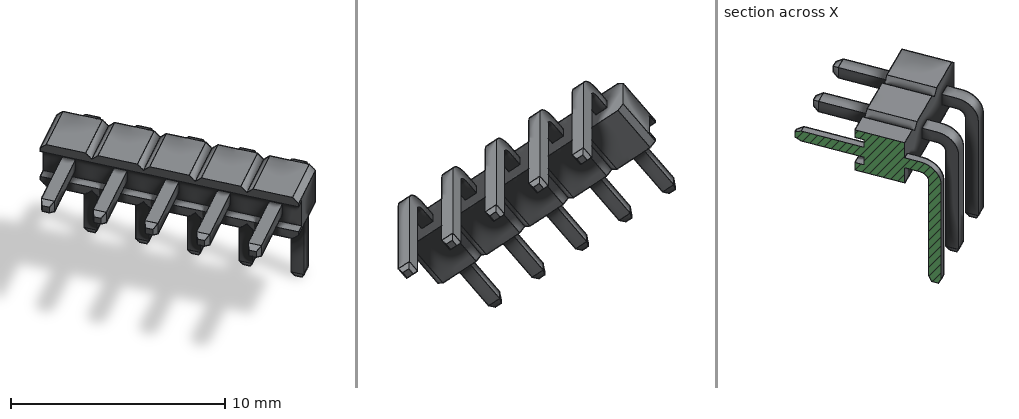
import cadquery as cq

PIN_COUNT = 5
PITCH = 2.54

BODY_LENGTH = PIN_COUNT * PITCH
BODY_DEPTH = 2.5
BODY_HEIGHT = 2.54
CORNER_CHAMFER = 0.3
RECESS_DEPTH = 0.45
RECESS_LIP = 0.5

PIN_WIDTH = 0.65
FRONT_REACH = 3.0
OVERALL_DEPTH = 7.33
OVERALL_HEIGHT = 8.27
BEND_INNER_RADIUS = 0.43
TIP_LENGTH = 0.32
TIP_INSET = 0.15

BODY_FRONT = -BODY_DEPTH / 2
BODY_TOP = BODY_HEIGHT / 2
PIN_FRONT = BODY_FRONT - FRONT_REACH
PIN_BACK = PIN_FRONT + OVERALL_DEPTH
LEG_BOTTOM = BODY_TOP - OVERALL_HEIGHT
LEG_CENTRE = PIN_BACK - PIN_WIDTH / 2
BEND_RADIUS = BEND_INNER_RADIUS + PIN_WIDTH / 2
TIP_WIDTH = PIN_WIDTH - 2 * TIP_INSET

PIN_POSITIONS = [(i - (PIN_COUNT - 1) / 2) * PITCH for i in range(PIN_COUNT)]


def make_body():
    """Row of joined chamfered cells with a channel along the front face."""
    body = None
    for x in PIN_POSITIONS:
        cell = (
            cq.Workplane("XY")
            .box(PITCH, BODY_DEPTH, BODY_HEIGHT)
            .edges("|Y")
            .chamfer(CORNER_CHAMFER)
            .translate((x, 0, 0))
        )
        body = cell if body is None else body.union(cell)

    channel = cq.Workplane("XY").box(
        BODY_LENGTH,
        RECESS_DEPTH,
        BODY_HEIGHT - 2 * RECESS_LIP,
    )
    return body.cut(channel.translate((0, BODY_FRONT + RECESS_DEPTH / 2, 0)))


def make_tip(base, direction):
    """Tapered square end that starts at base and points along direction."""
    plane = cq.Plane(origin=base, xDir=(1, 0, 0), normal=direction)
    return (
        cq.Workplane(plane)
        .rect(PIN_WIDTH, PIN_WIDTH)
        .workplane(offset=TIP_LENGTH)
        .rect(TIP_WIDTH, TIP_WIDTH)
        .loft(ruled=True)
    )


def make_pin():
    """Square wire running back through the body, then bent straight down."""
    shank_start = PIN_FRONT + TIP_LENGTH
    leg_end = LEG_BOTTOM + TIP_LENGTH
    path = (
        cq.Workplane("YZ")
        .moveTo(shank_start, 0)
        .lineTo(LEG_CENTRE - BEND_RADIUS, 0)
        .radiusArc((LEG_CENTRE, -BEND_RADIUS), BEND_RADIUS)
        .lineTo(LEG_CENTRE, leg_end)
    )
    wire = (
        cq.Workplane("XZ", origin=(0, shank_start, 0))
        .rect(PIN_WIDTH, PIN_WIDTH)
        .sweep(path)
    )
    front_tip = make_tip((0, shank_start, 0), (0, -1, 0))
    leg_tip = make_tip((0, LEG_CENTRE, leg_end), (0, 0, -1))
    return wire.union(front_tip).union(leg_tip)


result = make_body()
pin = make_pin()
for x in PIN_POSITIONS:
    result = result.union(pin.translate((x, 0, 0)))